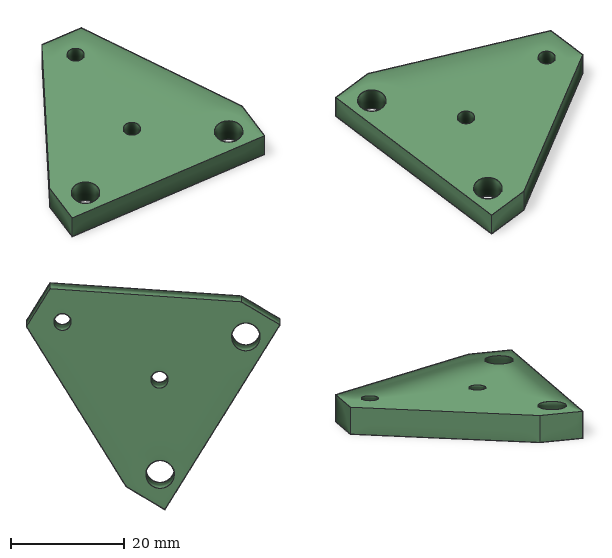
import cadquery as cq

length = 38.0
width = 39.0
thickness = 5.0

nose_width = 8.0
side_flat_length = 8.0

small_diameter = 3.0
large_diameter = 5.0
nose_hole_inset = 5.0
small_hole_spacing = 20.0
large_hole_inset = 4.0
large_hole_spacing = 29.0

taper_end_x = length - side_flat_length
outline = [
    (0, -nose_width / 2),
    (taper_end_x, -width / 2),
    (length, -width / 2),
    (length, width / 2),
    (taper_end_x, width / 2),
    (0, nose_width / 2),
]
small_holes = [
    (nose_hole_inset, 0),
    (nose_hole_inset + small_hole_spacing, 0),
]
large_hole_x = length - large_hole_inset
large_holes = [(large_hole_x, side * large_hole_spacing / 2) for side in (-1, 1)]


def hole_pins(centers, diameter):
    """Cylinders through the full thickness, to be cut from the plate."""
    return cq.Workplane("XY").pushPoints(centers).circle(diameter / 2).extrude(thickness)


plate = cq.Workplane("XY").polyline(outline).close().extrude(thickness)
result = plate.cut(hole_pins(small_holes, small_diameter)).cut(hole_pins(large_holes, large_diameter))